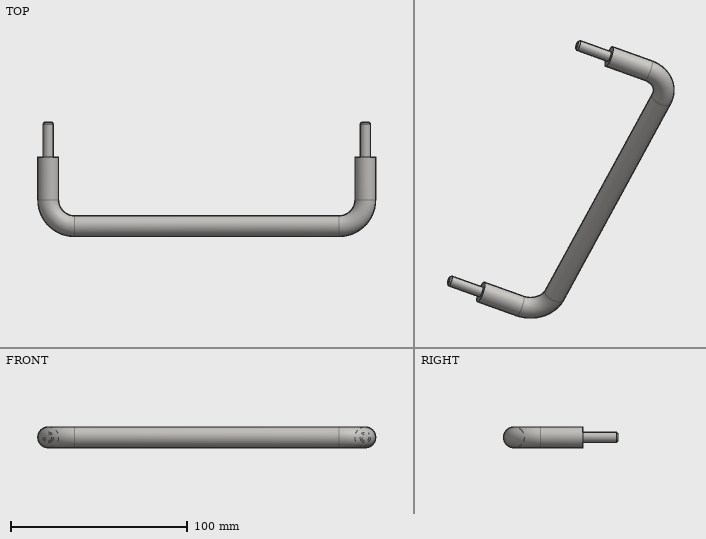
import cadquery as cq

overall_width = 192.0
overall_depth = 65.0
bar_diameter = 12.0
bend_radius = 15.0
stud_diameter = 6.0
stud_length = 20.0
stud_chamfer = 1.0

bar_radius = bar_diameter / 2
leg_x = overall_width / 2 - bar_radius
stud_tip_y = overall_depth - bar_radius
leg_end_y = stud_tip_y - stud_length
grip_end_x = leg_x - bend_radius


def make_bar():
    """Sweep the round section up one leg, along the grip and up the other leg."""
    path = (
        cq.Workplane("XY")
        .moveTo(-leg_x, leg_end_y)
        .lineTo(-leg_x, bend_radius)
        .radiusArc((-grip_end_x, 0), -bend_radius)
        .lineTo(grip_end_x, 0)
        .radiusArc((leg_x, bend_radius), -bend_radius)
        .lineTo(leg_x, leg_end_y)
    )
    section = cq.Workplane("XZ", origin=(-leg_x, leg_end_y, 0)).circle(bar_radius)
    return section.sweep(path)


def make_stud(x):
    """Stud from a leg's end face, with a chamfered tip."""
    return (
        cq.Workplane("XZ", origin=(x, leg_end_y, 0))
        .circle(stud_diameter / 2)
        .extrude(-stud_length)
        .faces(">Y")
        .chamfer(stud_chamfer)
    )


result = make_bar()
for side in (-1, 1):
    result = result.union(make_stud(side * leg_x))